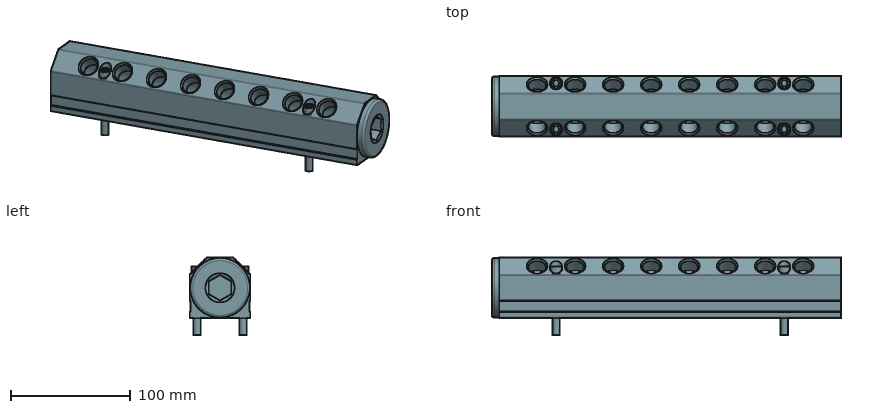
import cadquery as cq
import math

pitch = 31.75
port_count = 8
bar_length = (port_count + 1) * pitch
bar_size = 50.8
half = bar_size / 2
bevel = 14.5
bevel_angle = 45
edge_round = 1.0
bore_diameter = 29.4
bore_end_wall = 3.2

port_diameter = 14.6
port_mouth_diameter = 17.4
face_distance = (bar_size - bevel) / math.sqrt(2)

groove_top = -10.6
groove_bottom = -20.3
groove_depth = 0.7

flange_thickness = 6.1
flange_diameter = 49.8
flange_round = 2.0
shank_length = 5.2
socket_flats = 18.6
socket_mouth_diameter = 24.4
socket_mouth_depth = 1.0

screw_inset = 1.5 * pitch
screw_stations = (screw_inset, bar_length - screw_inset)
screw_offset = 19.2
screw_diameter = 6.35
screw_protrusion = 14.22
head_diameter = 9.53
head_height = 6.35
head_top = 18.1
head_chamfer = 0.6
head_bottom = head_top - head_height
key_flats = 4.76
key_depth = 3.2
counterbore_diameter = 10.4

HEX_CORNER_RATIO = 2 / math.sqrt(3)


def upright_cylinder(x, y, diameter, bottom, top):
    return cq.Workplane("XY", origin=(x, y, bottom)).circle(diameter / 2).extrude(top - bottom)


def port_tool(x, side):
    """Drill with a 45 degree countersink for one port on the given side (+1 or -1 in Y)."""
    mouth = port_mouth_diameter / 2
    radius = port_diameter / 2
    tool = (
        cq.Workplane("XZ")
        .moveTo(0, 0)
        .lineTo(radius, 0)
        .lineTo(radius, face_distance - (mouth - radius))
        .lineTo(mouth, face_distance)
        .lineTo(0, face_distance)
        .close()
        .revolve(360, (0, 0, 0), (0, 1, 0))
    )
    return tool.rotate((0, 0, 0), (1, 0, 0), -bevel_angle * side).translate((x, 0, 0))


def groove_tool(side):
    floor = side * (half - groove_depth)
    profile = [
        (side * half, groove_top),
        (floor, groove_top - groove_depth),
        (floor, groove_bottom + groove_depth),
        (side * half, groove_bottom),
    ]
    return cq.Workplane("YZ").polyline(profile).close().extrude(bar_length)


def make_bar():
    profile = [
        (-half, -half),
        (half, -half),
        (half, half - bevel),
        (half - bevel, half),
        (bevel - half, half),
        (-half, half - bevel),
    ]
    bar = cq.Workplane("YZ").polyline(profile).close().extrude(bar_length)
    bar = bar.edges("|X").fillet(edge_round)
    bar = bar.cut(cq.Workplane("YZ").circle(bore_diameter / 2).extrude(bar_length - bore_end_wall))
    for side in (-1, 1):
        bar = bar.cut(groove_tool(side))
        for number in range(1, port_count + 1):
            bar = bar.cut(port_tool(number * pitch, side))
        for x in screw_stations:
            y = side * screw_offset
            bar = bar.cut(upright_cylinder(x, y, counterbore_diameter, head_bottom, half))
            bar = bar.cut(upright_cylinder(x, y, screw_diameter, -half, head_bottom))
    return bar


def make_plug():
    flange = cq.Workplane("YZ").circle(flange_diameter / 2).extrude(-flange_thickness)
    flange = flange.faces("<X").edges().fillet(flange_round)
    plug = flange.union(cq.Workplane("YZ").circle(bore_diameter / 2).extrude(shank_length))
    outer_face = cq.Workplane("YZ", origin=(-flange_thickness, 0, 0))
    hexagon = outer_face.transformed(rotate=(0, 0, 90)).polygon(6, socket_flats * HEX_CORNER_RATIO)
    plug = plug.cut(hexagon.extrude(flange_thickness + shank_length))
    mouth = socket_mouth_diameter / 2
    flat_radius = socket_flats / 2
    outer_centre = cq.Vector(-flange_thickness, 0, 0)
    countersink = cq.Solid.makeCone(mouth, flat_radius, socket_mouth_depth, outer_centre, cq.Vector(1, 0, 0))
    return plug.cut(cq.Workplane(countersink))


def make_screw(x, y):
    head = upright_cylinder(x, y, head_diameter, head_bottom, head_top)
    head = head.faces(">Z").edges().chamfer(head_chamfer)
    screw = head.union(upright_cylinder(x, y, screw_diameter, -half - screw_protrusion, head_bottom))
    key = cq.Workplane("XY", origin=(x, y, head_top)).polygon(6, key_flats * HEX_CORNER_RATIO)
    return screw.cut(key.extrude(-key_depth))


bar = make_bar()
plug = make_plug()
screws = [make_screw(x, side * screw_offset) for x in screw_stations for side in (-1, 1)]

result = cq.Compound.makeCompound([bar.val(), plug.val(), *[screw.val() for screw in screws]])